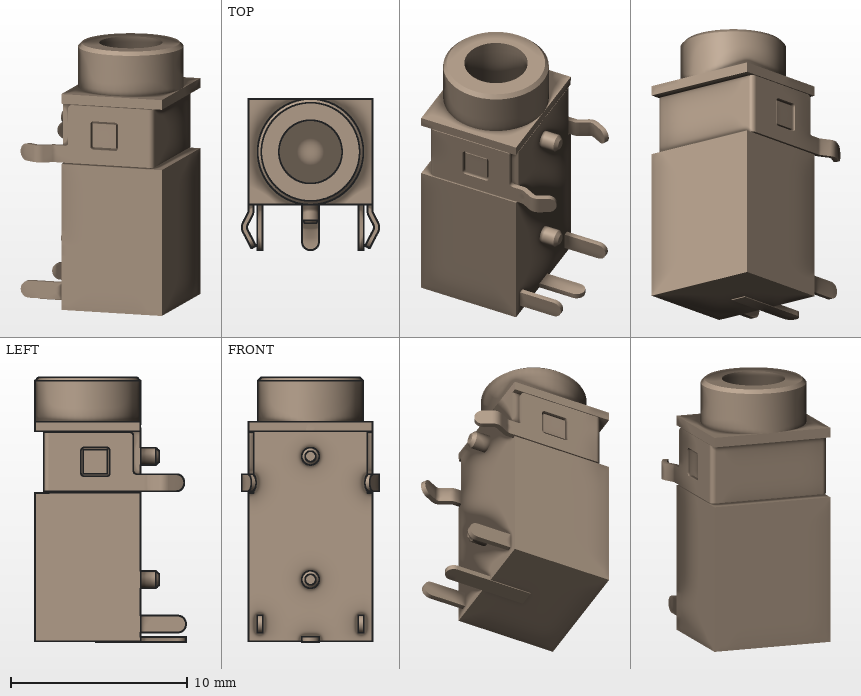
import cadquery as cq
import math


width = 7.05
depth = 6.0
block_top = 8.42
flange_bottom = 11.91
flange_top = 12.47
flange_draft = 0.02
barrel_top = 15.0
barrel_diameter = depth
barrel_chamfer = 0.21
bore_diameter = 3.6
bore_floor = 1.0
front = -depth / 2

peg_diameter = 1.0
peg_length = 1.07
peg_chamfer = 0.2
peg_heights = (3.5, 10.5)

sheet = 0.3
lead_width = 0.98
lead_reach = 2.59
lead_tip = front - lead_reach

side_lead_x = 2.87
side_lead_z = 0.98
center_lead_start = -0.45
center_lead_drop = 0.05

clip_bottom = 8.51
clip_top = 11.87
clip_back = 2.5
clip_front = -2.59
clip_bend_radius = 0.29
clip_corner_radius = 0.2
window_y = -0.44
window_z = 10.18
window_size = 1.64
window_radius = 0.18
pad_size = 1.37
pad_recess = 0.08

arm_span = 7.8
arm_angle = math.radians(27.5)
elbow_y = -4.29
arm_tip_y = -5.41
inner_bend_radius = 0.3
outer_bend_radius = inner_bend_radius + sheet
arm_tip_radius = 0.48

neck_width = width - 2 * sheet
neck_back = clip_back - sheet


def box(x_range, y_range, z_range):
    """Axis-aligned box between the given limits."""
    (x0, x1), (y0, y1), (z0, z1) = x_range, y_range, z_range
    return cq.Workplane("XY").box(x1 - x0, y1 - y0, z1 - z0, centered=False).translate((x0, y0, z0))


def both_sides(body):
    """A body together with its mirror image across the YZ plane."""
    return body.union(body.mirror("YZ"))


def make_housing():
    """Block, narrower neck, flange and barrel."""
    half = width / 2
    block = box((-half, half), (front, -front), (0, block_top))
    neck = box((-neck_width / 2, neck_width / 2), (front, neck_back), (block_top, flange_bottom))
    flange = (
        cq.Workplane("YZ")
        .polyline([
            (front + flange_draft, flange_bottom),
            (-front, flange_bottom),
            (-front, flange_top),
            (front, flange_top),
        ])
        .close()
        .extrude(half, both=True)
    )
    barrel = (
        cq.Workplane("XY")
        .workplane(offset=flange_bottom)
        .circle(barrel_diameter / 2)
        .extrude(barrel_top - flange_bottom)
        .faces(">Z")
        .chamfer(barrel_chamfer)
    )
    return block.union(neck).union(flange).union(barrel)


def make_bore():
    """Blind plug bore, open at the barrel end."""
    return (
        cq.Workplane("XY")
        .workplane(offset=bore_floor)
        .circle(bore_diameter / 2)
        .extrude(barrel_top - bore_floor)
    )


def make_peg(height):
    """Chamfered round peg on the front face."""
    return (
        cq.Workplane("XZ", origin=(0, front, height))
        .circle(peg_diameter / 2)
        .extrude(peg_length)
        .faces("<Y")
        .chamfer(peg_chamfer)
    )


def make_lead(start_y):
    """Flat lead centred on Z = 0 with a fully rounded tip."""
    radius = lead_width / 2
    return (
        cq.Workplane("XY")
        .workplane(offset=-sheet / 2)
        .moveTo(-radius, start_y)
        .lineTo(-radius, lead_tip + radius)
        .threePointArc((0, lead_tip), (radius, lead_tip + radius))
        .lineTo(radius, start_y)
        .close()
        .extrude(sheet)
    )


def make_leads():
    center_lead = make_lead(center_lead_start).translate((0, 0, sheet / 2 - center_lead_drop))
    side_lead = (
        make_lead(front)
        .rotate((0, 0, 0), (0, 1, 0), 90)
        .translate((side_lead_x, 0, side_lead_z))
    )
    return center_lead.union(both_sides(side_lead))


def make_clip_band():
    """Back and side plates of the clip, wrapped around the neck."""
    half = width / 2
    band = (
        box((-half, half), (clip_front, clip_back), (clip_bottom, clip_top))
        .edges("|Z and >Y")
        .fillet(clip_bend_radius)
        .edges("|X and <Y and >Z")
        .fillet(clip_corner_radius)
    )
    neck = box((-neck_width / 2, neck_width / 2), (front, neck_back), (clip_bottom, clip_top))
    window = (
        box(
            (-half, half),
            (window_y - window_size / 2, window_y + window_size / 2),
            (window_z - window_size / 2, window_z + window_size / 2),
        )
        .edges("|X")
        .fillet(window_radius)
    )
    return band.cut(neck).cut(window)


def make_arm():
    """Bent spring arm on the +X side, running forward from the clip."""
    center_x = (width - sheet) / 2
    bend_radius = (inner_bend_radius + outer_bend_radius) / 2
    elbow_x = arm_span / 2 - outer_bend_radius + bend_radius / math.cos(arm_angle)
    bend_y = elbow_y + (elbow_x - center_x) / math.tan(arm_angle)
    tip_x = elbow_x - (elbow_y - arm_tip_y) * math.tan(arm_angle)

    half = sheet / 2
    bend_shift = half * math.tan(arm_angle / 2)
    elbow_shift = half / math.cos(arm_angle)
    tip_dx = half * math.cos(arm_angle)
    tip_dy = half * math.sin(arm_angle)

    arm = (
        cq.Workplane("XY")
        .workplane(offset=clip_bottom)
        .polyline([
            (center_x + half, clip_front),
            (center_x + half, bend_y + bend_shift),
            (elbow_x + elbow_shift, elbow_y),
            (tip_x + tip_dx, arm_tip_y - tip_dy),
            (tip_x - tip_dx, arm_tip_y + tip_dy),
            (elbow_x - elbow_shift, elbow_y),
            (center_x - half, bend_y - bend_shift),
            (center_x - half, clip_front),
        ])
        .close()
        .extrude(lead_width)
    )

    def upright_edge(x, y):
        return cq.selectors.NearestToPointSelector((x, y, clip_bottom + lead_width / 2))

    corners = (
        (center_x + half, bend_y + bend_shift, inner_bend_radius),
        (center_x - half, bend_y - bend_shift, outer_bend_radius),
        (elbow_x + elbow_shift, elbow_y, outer_bend_radius),
        (elbow_x - elbow_shift, elbow_y, inner_bend_radius),
    )
    for x, y, radius in corners:
        arm = arm.edges("|Z").edges(upright_edge(x, y)).fillet(radius)

    tip_normal = cq.Vector(-math.sin(arm_angle), -math.cos(arm_angle), 0)
    tip_face = cq.selectors.DirectionMinMaxSelector(tip_normal)
    return arm.faces(tip_face).edges("not |Z").fillet(arm_tip_radius)


def make_clip_root_fillet():
    """Rounded inside corner between the front of the clip and the arm."""
    arm_top = clip_bottom + lead_width
    return (
        cq.Workplane("YZ", origin=(neck_width / 2, 0, 0))
        .moveTo(clip_front, arm_top)
        .lineTo(clip_front, arm_top + clip_corner_radius)
        .radiusArc((clip_front - clip_corner_radius, arm_top), clip_corner_radius)
        .close()
        .extrude(sheet)
    )


def make_pad():
    """Square pad of the neck standing inside the clip window."""
    return box(
        (0, width / 2 - pad_recess),
        (window_y - pad_size / 2, window_y + pad_size / 2),
        (window_z - pad_size / 2, window_z + pad_size / 2),
    )


side_parts = make_arm().union(make_clip_root_fillet()).union(make_pad())

result = make_housing()
for peg_height in peg_heights:
    result = result.union(make_peg(peg_height))
result = (
    result
    .union(make_leads())
    .union(make_clip_band())
    .union(both_sides(side_parts))
    .cut(make_bore())
)